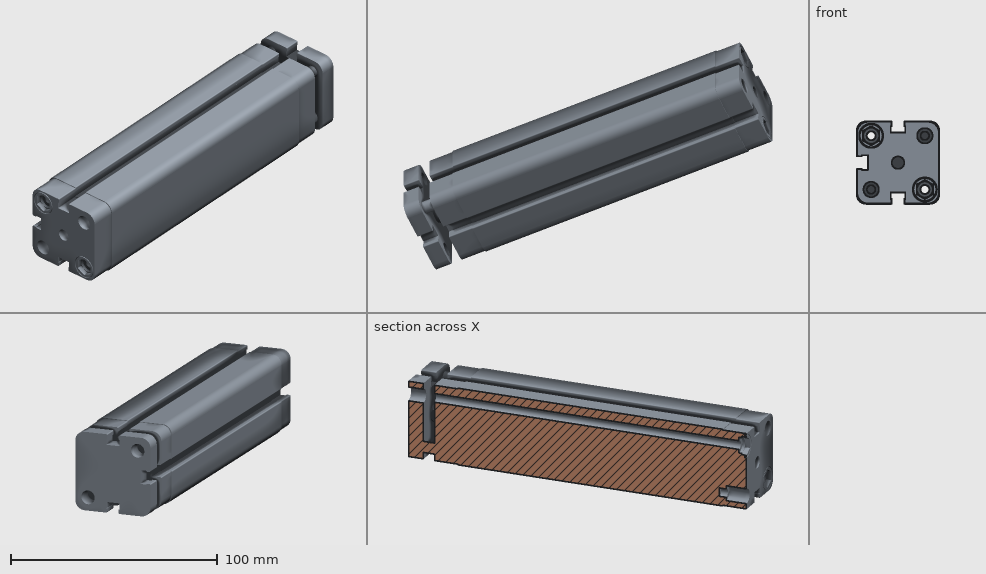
import cadquery as cq
import math

total_length = 178.0
cap_length = 12.5
plate_thickness = 8.0
plate_gap = 5.7
front_y = -total_length / 2
tube_start_y = front_y + cap_length
plate_start_y = total_length / 2 - plate_thickness
body_end_y = plate_start_y - plate_gap
tube_end_y = body_end_y - cap_length

tube_width = 40.0
cap_width = 39.3
corner_radius = 4.8

slot_opening = 6.0
slot_inner_width = 7.0
slot_depth = 5.3
lip_thickness = 2.1
lip_radius = 0.5
slot_angles = (0, 180, -90)

corner_offset = 13.0
screw_corners = [(-corner_offset, corner_offset), (corner_offset, -corner_offset)]
guide_corners = [(corner_offset, corner_offset), (-corner_offset, -corner_offset)]
rod_offset = 13.4
rod_corners = [(rod_offset, rod_offset), (-rod_offset, -rod_offset)]
guide_rod_diameter = 6.0
guide_bore_diameter = 7.5
guide_bore_depth = 10.7
guide_pilot_diameter = 4.1
guide_pilot_depth = 14.2
screw_hole_diameter = 4.3
plate_hole_diameter = 7.0

socket_flats = 8.0
socket_depth = 2.5
head_recess_diameter = 11.7
head_diameter = 11.0
head_groove_depth = 0.9
socket_drill_diameter = 7.8
socket_drill_depth = 4.0

port_diameter = 6.0
port_depth = 10.7

piston_diameter = 10.0
piston_tip_diameter = 8.5
piston_tip_length = 1.2
piston_flat_width = 8.2
piston_flat_length = 3.4
piston_ramp_length = 1.0


def face_plane(y):
    """Workplane facing -Y at the given y, with local axes X and Z."""
    return cq.Workplane("XZ", origin=(0, y, 0))


def cylinder(diameter, start_y, length, points=((0, 0),)):
    """Cylinders that run toward +Y from start_y."""
    return face_plane(start_y).pushPoints(points).circle(diameter / 2).extrude(-length)


def slot_cutter(width, start_y, length):
    """T-slot in the top side of a block, with rounded lip edges."""
    surface = width / 2
    lip_bottom = surface - lip_thickness
    floor = surface - slot_depth
    half_opening = slot_opening / 2
    half_inner = slot_inner_width / 2
    return (
        face_plane(start_y)
        .moveTo(-half_opening - lip_radius, surface)
        .radiusArc((-half_opening, surface - lip_radius), lip_radius)
        .lineTo(-half_opening, lip_bottom)
        .lineTo(-half_inner, lip_bottom)
        .lineTo(-half_inner, floor)
        .lineTo(half_inner, floor)
        .lineTo(half_inner, lip_bottom)
        .lineTo(half_opening, lip_bottom)
        .lineTo(half_opening, surface - lip_radius)
        .radiusArc((half_opening + lip_radius, surface), lip_radius)
        .close()
        .extrude(-length)
    )


def slotted_block(width, start_y, end_y):
    """Square block with rounded corners and three T-slots."""
    length = end_y - start_y
    block = face_plane(start_y).rect(width, width).extrude(-length)
    block = block.edges("|Y").fillet(corner_radius)
    cutter = slot_cutter(width, start_y, length)
    for angle in slot_angles:
        block = block.cut(cutter.rotate((0, 0, 0), (0, 1, 0), angle))
    return block


def piston_rod():
    """Rod end with a chamfered tip and wrench flats that ramp out to the full diameter."""
    rod = cylinder(piston_diameter, body_end_y, plate_gap)
    tip_step = (piston_diameter - piston_tip_diameter) / 2
    rod = rod.faces(">Y").chamfer(piston_tip_length, tip_step)
    half_flat = piston_flat_width / 2
    ramp_height = piston_diameter / 2 - half_flat
    flat_end_y = plate_start_y - piston_flat_length
    flat = (
        cq.Workplane("XY")
        .polyline([
            (half_flat, plate_start_y),
            (half_flat, flat_end_y),
            (half_flat + ramp_height, flat_end_y - piston_ramp_length),
            (half_flat + ramp_height, plate_start_y),
        ])
        .close()
        .extrude(piston_diameter / 2, both=True)
    )
    return rod.cut(flat).cut(flat.mirror("YZ"))


def screw_hole():
    """Groove around the head, hexagon socket, drilled bottom and through hole, along the Y axis."""
    groove = (
        face_plane(front_y)
        .circle(head_recess_diameter / 2)
        .circle(head_diameter / 2)
        .extrude(-head_groove_depth)
    )
    socket = (
        face_plane(front_y)
        .polygon(6, socket_flats / math.cos(math.pi / 6))
        .extrude(-socket_depth)
        .rotate((0, 0, 0), (0, 1, 0), 90)
    )
    drill = cylinder(socket_drill_diameter, front_y, socket_drill_depth)
    through = cylinder(screw_hole_diameter, front_y, total_length)
    return groove.union(socket).union(drill).union(through)


def guide_holes():
    """Stepped blind holes in the front face, in line with the guide rods."""
    bore = cylinder(guide_bore_diameter, front_y, guide_bore_depth, guide_corners)
    return bore.union(cylinder(guide_pilot_diameter, front_y, guide_pilot_depth, guide_corners))


front_cap = slotted_block(cap_width, front_y, tube_start_y)
tube = slotted_block(tube_width, tube_start_y, tube_end_y)
rear_cap = slotted_block(cap_width, tube_end_y, body_end_y)
plate = slotted_block(cap_width, plate_start_y, total_length / 2)
guide_rods = cylinder(guide_rod_diameter, body_end_y, plate_gap, rod_corners)

result = front_cap.union(tube).union(rear_cap).union(plate).union(guide_rods).union(piston_rod())
for screw_x, screw_z in screw_corners:
    result = result.cut(screw_hole().translate((screw_x, 0, screw_z)))
result = result.cut(guide_holes())
result = result.cut(cylinder(port_diameter, front_y, port_depth))
result = result.cut(cylinder(plate_hole_diameter, plate_start_y, plate_thickness, screw_corners))